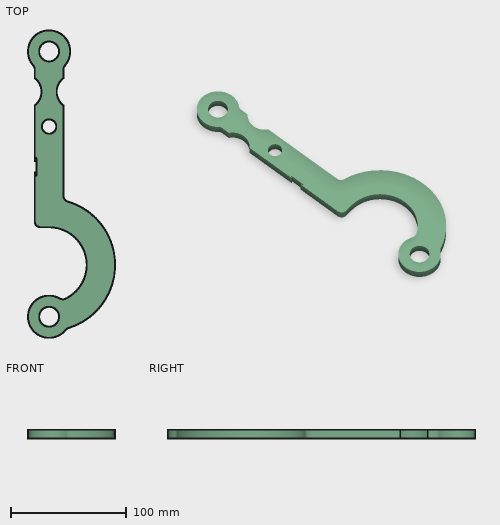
import cadquery as cq
import math

overall_length = 267.0
thickness = 8.0
eye_radius = 18.5
eye_hole_diameter = 17.0
eye_spacing = overall_length - 2 * eye_radius
upper_eye_y = eye_spacing / 2
lower_eye_y = -eye_spacing / 2

bar_width = 25.0
bar_half = bar_width / 2
hook_outer_radius = 57.5
hook_inner_radius = 32.5
hook_mean_radius = (hook_outer_radius + hook_inner_radius) / 2
hook_center_y = lower_eye_y + hook_mean_radius
blend_radius = 5.0

waist_y = upper_eye_y - 35.0
waist_half_width = 6.7
waist_arc_radius = 15.0
pivot_y = upper_eye_y - 65.1
pivot_diameter = 12.3

notch_y = upper_eye_y - 100.0
notch_mouth = 9.5
notch_floor = 15.5
notch_depth = 1.5


def disc(radius, x, y):
    return cq.Workplane("XY").center(x, y).circle(radius).extrude(thickness)


def blend_vertical_edge(body, x, y):
    """Round the vertical edge nearest to the given point."""
    corner = cq.selectors.NearestToPointSelector((x, y, thickness / 2))
    return body.edges("|Z").edges(corner).fillet(blend_radius)


def make_hook():
    """Half ring opening toward -X, ending on the line through both eyes."""
    return (
        cq.Workplane("XY")
        .moveTo(0, hook_center_y + hook_outer_radius)
        .threePointArc((hook_outer_radius, hook_center_y), (0, hook_center_y - hook_outer_radius))
        .lineTo(0, hook_center_y - hook_inner_radius)
        .threePointArc((hook_inner_radius, hook_center_y), (0, hook_center_y + hook_inner_radius))
        .close()
        .extrude(thickness)
    )


def make_bar():
    bottom = hook_center_y + hook_inner_radius
    bar_length = upper_eye_y - bottom
    return (
        cq.Workplane("XY")
        .center(0, bottom + bar_length / 2)
        .rect(bar_width, bar_length)
        .extrude(thickness)
    )


def make_notch():
    floor_x = -bar_half + notch_depth
    return (
        cq.Workplane("XY")
        .polyline([
            (-bar_half, notch_y + notch_mouth / 2),
            (floor_x, notch_y + notch_floor / 2),
            (floor_x, notch_y - notch_floor / 2),
            (-bar_half, notch_y - notch_mouth / 2),
        ])
        .close()
        .extrude(thickness)
    )


body = make_bar().union(make_hook())
for eye_y in (upper_eye_y, lower_eye_y):
    body = body.union(disc(eye_radius, 0, eye_y))

eye_joint_y = upper_eye_y - math.sqrt(eye_radius**2 - bar_half**2)
for side in (-1, 1):
    body = blend_vertical_edge(body, side * bar_half, eye_joint_y)

bar_joint_y = hook_center_y + math.sqrt(hook_outer_radius**2 - bar_half**2)
body = blend_vertical_edge(body, bar_half, bar_joint_y)
body = blend_vertical_edge(body, -bar_half, hook_center_y + hook_inner_radius)

for hook_radius in (hook_inner_radius, hook_outer_radius):
    rise = (hook_radius**2 + hook_mean_radius**2 - eye_radius**2) / (2 * hook_mean_radius)
    joint_x = math.sqrt(hook_radius**2 - rise**2)
    body = blend_vertical_edge(body, joint_x, hook_center_y - rise)

for side in (-1, 1):
    body = body.cut(disc(waist_arc_radius, side * (waist_half_width + waist_arc_radius), waist_y))

for eye_y in (upper_eye_y, lower_eye_y):
    body = body.cut(disc(eye_hole_diameter / 2, 0, eye_y))
body = body.cut(disc(pivot_diameter / 2, 0, pivot_y))

result = body.cut(make_notch())